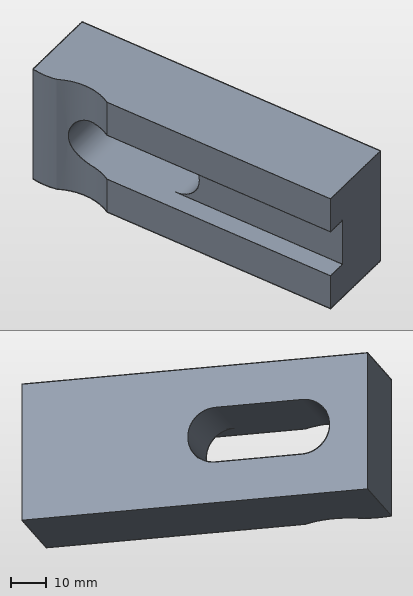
import cadquery as cq

length = 100.0
depth = 25.0
height = 40.0

nose_width = 8.0
nose_edge_setback = 0.4
nose_peak_x = 4.0
relief_end_x = 25.1
relief_depth = 2.5
relief_mid_x = 16.5

slot_width = 16.0
slot_start_x = 11.0
slot_end_x = 52.0
channel_depth = 6.0


def clamp_body():
    """Extrude the side profile over the full height."""
    return (
        cq.Workplane("XY")
        .moveTo(0, nose_edge_setback)
        .threePointArc((nose_peak_x, 0), (nose_width, nose_edge_setback))
        .threePointArc((relief_mid_x, relief_depth), (relief_end_x, 0))
        .lineTo(length, 0)
        .lineTo(length, depth)
        .lineTo(0, depth)
        .close()
        .extrude(height)
    )


def through_slot():
    """Round-ended slot cutting through the whole depth."""
    slot_length = slot_end_x - slot_start_x
    return (
        cq.Workplane("XZ")
        .center((slot_start_x + slot_end_x) / 2, height / 2)
        .slot2D(slot_length, slot_width)
        .extrude(-depth)
    )


def channel():
    """Shallow channel as wide as the slot, open at the +X end."""
    start_x = (slot_start_x + slot_end_x) / 2
    return cq.Workplane("XY").box(
        length - start_x, channel_depth, slot_width, centered=(False, False, True)
    ).translate((start_x, 0, height / 2))


result = clamp_body().cut(through_slot()).cut(channel())